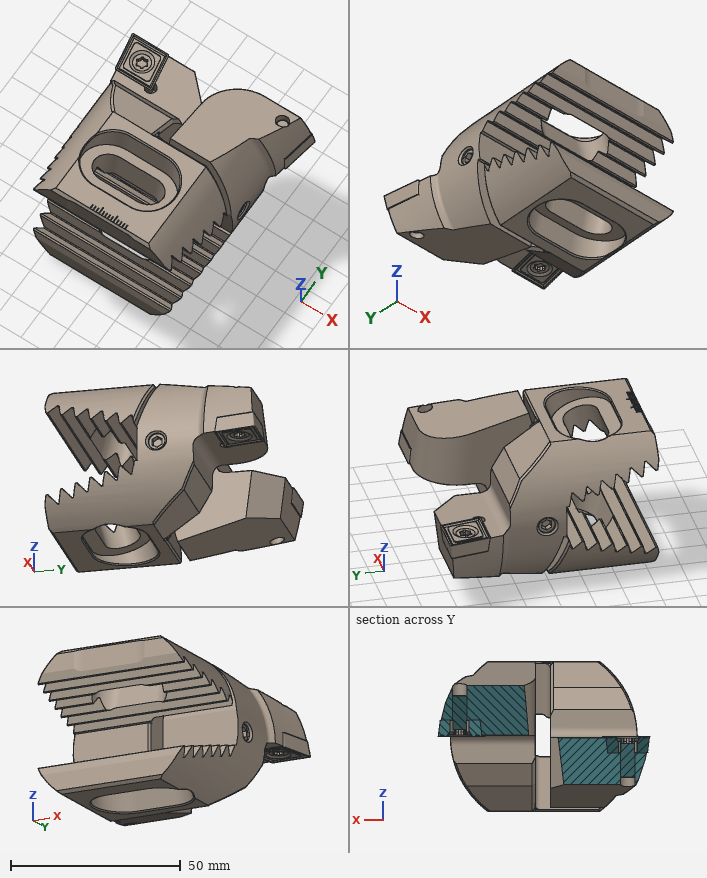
import cadquery as cq
import math


OVERSIZE = 100.0
MARGIN = 0.1

body_radius = 27.5
half_height = 22.05
slope = 15.0
tan_slope = math.tan(math.radians(slope))
cos_slope = math.cos(math.radians(slope))
sin_slope = math.sin(math.radians(slope))

root_y = 29.0
tooth_pitch = 4.73
tooth_count = 7
flank_angle = 60.0
tip_flat = 0.6
valley_flat = 0.4
flank_run = (tooth_pitch - tip_flat - valley_flat) / 2
tooth_height = flank_run * math.tan(math.radians(flank_angle))
first_tip_y = 28.4
first_tip_z = 5.6
root_tip_z = first_tip_z - (root_y - first_tip_y) * tan_slope
end_chamfer = 1.0

slot_x = -1.45
slot_y = 17.95
slot_radius = 5.4
slot_offset = 0.3
counterbore_straight = 12.8
counterbore_radius = 9.35
counterbore_lip = 0.4
lip_drop = 0.6
counterbore_depth = 4.4

relief_angle = 7.0
arm_top_z = -0.35
wall_y = 46.0
wall_top_z = 8.0
wall_fillet = 3.0
ramp_knee_y = 42.2
ramp_knee_z = 14.5
ramp_top_y = 31.4
ramp_edge_chamfer = 0.5
shoulder_height = 1.5
shoulder_length = 1.45
shoulder_fillet = 1.16
arm_front_radius = 31.5
arm_front_radius_y = 64.0
ramp_inner_chamfer = 1.0
jaw_back_chamfer = 0.65

tip_radius_from_axis = 32.25
insert_width = 12.7
insert_thickness = 4.76
insert_angle = 80.0
nose_radius = 0.4
insert_overhang = 0.3
groove_land = 0.5
groove_width = 1.25
groove_depth = 0.35
groove_taper = 55.0
platform_corner = 1.0
corner_relief_radius = 1.85
corner_relief_inset = 0.8

head_radius = 3.75
head_cone_depth = 1.4
insert_bore_radius = 2.75
head_top_radius = 2.8
head_top_drop = 0.5
shank_radius = 2.1
shank_bottom_z = -12.0
shank_chamfer = 0.3
torx_core_radius = 1.5
torx_lobe_radius = 0.4
torx_depth = 1.5
lobe_count = 6

set_screw_y = 34.85
set_screw_radius = 2.5
set_screw_length = 8.0
set_screw_recess = 1.2
set_screw_countersink_radius = 3.2
hex_across_flats = 3.0
hex_sides = 6
hex_depth = 2.0

tick_count = 13
tick_spacing = 1.02
first_tick_x = -4.3
tick_width = 0.2
tick_depth = 0.1
tick_length = 1.5
long_tick_length = 2.4
long_ticks = (3, 8)
end_recess_flat = 18.0
end_recess_width = 23.5
end_recess_depth = 0.28

upper = {
    "inner_x": 1.93,
    "jaw_back_y": 32.05,
    "web_corner_radius": 2.5,
    "slot_straight": 13.0,
    "arm_end_y": 34.65,
    "web_step_z": -4.3,
    "arm_bottom_z": -20.9,
    "arm_bottom_y": 34.1,
    "shoulder_y": 47.15,
    "tip_y": 65.4,
    "corner_chamfer": 8.15,
    "corner_round": 0,
    "web_chamfer": 0.6,
}
lower = {
    "inner_x": 2.43,
    "jaw_back_y": 32.35,
    "web_corner_radius": 1.4,
    "slot_straight": 12.2,
    "arm_end_y": 33.42,
    "web_step_z": 0.0,
    "arm_bottom_z": -22.05,
    "arm_bottom_y": 33.1,
    "shoulder_y": 48.1,
    "tip_y": 65.8,
    "corner_chamfer": 0,
    "corner_round": 13.2,
    "web_chamfer": 0,
}


def extrude_x(points, x_min, x_max):
    """Prism along X from a closed outline of (y, z) points."""
    return cq.Workplane("YZ", origin=(x_min, 0, 0)).polyline(points).close().extrude(x_max - x_min)


def leaning_y(y_at_flat, z):
    """Y at height z of a face square to the serrations that meets the outer flat at y_at_flat."""
    return y_at_flat - (half_height - abs(z)) * tan_slope


def turned_envelope(holder):
    """Solid of revolution about Y: cylinder, shoulder and outward cone of the arm."""
    cone_y = holder["shoulder_y"] + shoulder_length
    cone_radius = body_radius + shoulder_height
    cone_slope = (arm_front_radius - cone_radius) / (arm_front_radius_y - cone_y)
    front_y = 2 * holder["tip_y"]
    envelope = (
        cq.Workplane("XY")
        .moveTo(0, 0)
        .lineTo(body_radius, 0)
        .lineTo(body_radius, holder["shoulder_y"])
        .lineTo(cone_radius, cone_y)
        .lineTo(cone_radius + cone_slope * (front_y - cone_y), front_y)
        .lineTo(0, front_y)
        .close()
        .revolve(360, (0, 0, 0), (0, 1, 0))
    )
    shoulder_root = cq.selectors.BoxSelector(
        (-OVERSIZE, holder["shoulder_y"] - MARGIN, -OVERSIZE),
        (OVERSIZE, holder["shoulder_y"] + MARGIN, OVERSIZE),
    )
    return envelope.edges(shoulder_root).fillet(shoulder_fillet)


def serration_points():
    """Tooth outline (y, z) from the jaw root to beyond the jaw end."""
    local = []
    for i in range(tooth_count):
        tip = i * tooth_pitch
        local.append((tip - tip_flat / 2, 0))
        local.append((tip + tip_flat / 2, 0))
        local.append((tip + tip_flat / 2 + flank_run, tooth_height))
        local.append((tip + tip_flat / 2 + flank_run + valley_flat, tooth_height))
    return [
        (first_tip_y - u * cos_slope + v * sin_slope, first_tip_z + u * sin_slope + v * cos_slope)
        for u, v in local
    ]


def make_jaw(holder, envelope):
    """Serrated jaw: a leaning, chamfered back beside the web and a square root where they join."""
    inner = -holder["inner_x"]
    end_points = [(0, 0), (0, half_height - end_chamfer), (end_chamfer, half_height)]
    back_y = holder["jaw_back_y"]
    back_points = [(back_y, half_height), (leaning_y(back_y, 0), 0)]
    free_part = extrude_x(end_points + back_points, -OVERSIZE, OVERSIZE).intersect(envelope)
    back_face = cq.selectors.DirectionMinMaxSelector(cq.Vector(0, cos_slope, -sin_slope), True)
    free_part = free_part.faces(back_face).edges("not(<Z)").chamfer(jaw_back_chamfer)
    clear_of_web = cq.Workplane("XY").box(2 * OVERSIZE, OVERSIZE, OVERSIZE).translate(
        (inner + OVERSIZE, OVERSIZE / 2, 0)
    )
    free_part = free_part.intersect(clear_of_web)
    root_points = [(ramp_top_y, half_height), (ramp_top_y, root_tip_z), (root_y, root_tip_z), (root_y, 0)]
    web_part = extrude_x(end_points + root_points, -OVERSIZE, inner).intersect(envelope)
    teeth = serration_points()
    tooth_line = [(OVERSIZE, teeth[0][1])] + teeth + [(-OVERSIZE, teeth[-1][1])]
    below = tooth_line + [(-OVERSIZE, -OVERSIZE), (OVERSIZE, -OVERSIZE)]
    blank = free_part.union(web_part).union(web_corner(holder))
    return blank.cut(extrude_x(below, -OVERSIZE, OVERSIZE))


def web_prism(holder, x_max):
    """Side outline of web, ramps and arm, extruded from the outside up to x_max."""
    front_y = 2 * holder["tip_y"]
    bottom_front_z = holder["arm_bottom_z"] + (OVERSIZE - holder["arm_bottom_y"]) * tan_slope
    bottom_root_z = holder["arm_bottom_z"] - (holder["arm_bottom_y"] - root_y) * tan_slope
    prism = extrude_x(
        [
            (root_y, half_height),
            (ramp_top_y, half_height),
            (ramp_knee_y, ramp_knee_z),
            (wall_y, wall_top_z),
            (wall_y, arm_top_z),
            (front_y, arm_top_z),
            (front_y, holder["arm_bottom_z"]),
            (root_y, -OVERSIZE),
        ],
        -OVERSIZE,
        x_max,
    )
    foot = cq.selectors.BoxSelector(
        (-OVERSIZE, wall_y - MARGIN, arm_top_z - MARGIN), (OVERSIZE, wall_y + MARGIN, arm_top_z + MARGIN)
    )
    prism = prism.edges(foot).fillet(wall_fillet)
    underside = extrude_x(
        [(root_y, bottom_root_z), (OVERSIZE, bottom_front_z), (OVERSIZE, -OVERSIZE), (root_y, -OVERSIZE)],
        -OVERSIZE,
        OVERSIZE,
    )
    step_z = holder["web_step_z"]
    deep_z = -2 * half_height
    jaw_clearance = extrude_x(
        [
            (0, step_z),
            (leaning_y(holder["arm_end_y"], step_z), step_z),
            (leaning_y(holder["arm_end_y"], deep_z), deep_z),
            (0, deep_z),
        ],
        -OVERSIZE,
        OVERSIZE,
    )
    return prism.cut(underside).cut(jaw_clearance)


def arm_plan(holder):
    """Plan outline of the arm, extruded along the front relief direction."""
    relief = math.radians(relief_angle)
    plane = cq.Plane(
        origin=(0, holder["tip_y"] - insert_overhang, 0),
        xDir=(1, 0, 0),
        normal=(0, math.sin(relief), math.cos(relief)),
    )
    plan = (
        cq.Workplane(plane)
        .moveTo(-OVERSIZE, 0)
        .lineTo(-holder["inner_x"], 0)
        .lineTo(-holder["inner_x"], -OVERSIZE)
        .lineTo(-OVERSIZE, -OVERSIZE)
        .close()
        .extrude(OVERSIZE / 2, both=True)
    )
    corner = plan.edges(
        cq.selectors.BoxSelector((-holder["inner_x"] - MARGIN, 0, -MARGIN), (0, OVERSIZE, MARGIN))
    )
    if holder["corner_round"]:
        return corner.fillet(holder["corner_round"])
    return corner.chamfer(holder["corner_chamfer"])


def make_web(holder, envelope):
    """Web and arm on the cutter side, with broken ramp and web edges."""
    inner = -holder["inner_x"]
    web = web_prism(holder, inner).intersect(arm_plan(holder))
    ramp_edges = cq.selectors.BoxSelector(
        (inner - MARGIN, ramp_top_y, wall_top_z), (inner + MARGIN, wall_y - MARGIN, half_height - MARGIN)
    )
    web = web.edges(ramp_edges).chamfer(ramp_inner_chamfer)
    if holder["web_chamfer"]:
        face_edge = cq.selectors.BoxSelector(
            (inner - MARGIN, root_y - MARGIN, holder["web_step_z"]),
            (inner + MARGIN, root_y + MARGIN, half_height),
        )
        web = web.edges(face_edge).chamfer(holder["web_chamfer"])
    web = web.intersect(envelope)
    outer_ramp_edges = cq.selectors.BoxSelector(
        (-body_radius, ramp_top_y, wall_top_z), (-body_radius / 2, wall_y - MARGIN, half_height - MARGIN)
    )
    return web.edges(outer_ramp_edges).chamfer(ramp_edge_chamfer)


def web_corner(holder):
    """Concave round between the inner face of the web and the jaw back."""
    plane = cq.Plane(
        origin=(-holder["inner_x"], holder["jaw_back_y"], half_height),
        xDir=(1, 0, 0),
        normal=(0, sin_slope, cos_slope),
    )
    radius = holder["web_corner_radius"]
    corner = (
        cq.Workplane(plane)
        .moveTo(-MARGIN, -MARGIN)
        .lineTo(radius, -MARGIN)
        .lineTo(radius, 0)
        .radiusArc((0, radius), radius)
        .lineTo(-MARGIN, radius)
        .close()
        .extrude(half_height, both=True)
    )
    ceiling = extrude_x(
        [
            (0, 0),
            (0, half_height),
            (ramp_top_y, half_height),
            (ramp_knee_y, ramp_knee_z),
            (ramp_knee_y, 0),
        ],
        -OVERSIZE,
        OVERSIZE,
    )
    return corner.intersect(ceiling)


def clamping_slot(holder):
    """Counterbored slot along the tilted axis."""
    plane = cq.Plane(origin=(slot_x, slot_y, half_height), xDir=(1, 0, 0), normal=(0, sin_slope, cos_slope))
    bore = (
        cq.Workplane(plane)
        .center(0, slot_offset)
        .slot2D(holder["slot_straight"] + 2 * slot_radius, 2 * slot_radius)
        .extrude(-half_height)
    )
    counterbore = (
        cq.Workplane(plane)
        .workplane(offset=-counterbore_depth)
        .slot2D(counterbore_straight + 2 * counterbore_radius, 2 * counterbore_radius)
        .extrude(half_height)
    )
    return bore.union(counterbore)


def break_counterbore_lip(body):
    """Chamfer where the counterbore leaves the flat and the cylinder."""
    reach = counterbore_radius / cos_slope + MARGIN
    lip = cq.selectors.BoxSelector(
        (-body_radius, slot_y - reach, half_height - lip_drop),
        (body_radius, slot_y + reach, half_height + MARGIN),
    )
    return body.edges(lip).edges("not(|Y)").chamfer(counterbore_lip)


def set_screw_hole():
    """Countersunk blind hole from the cylinder into the web."""
    depth = set_screw_recess + set_screw_length
    flare = set_screw_countersink_radius - set_screw_radius
    return (
        cq.Workplane("XY", origin=(-body_radius, set_screw_y, 0))
        .polyline(
            [
                (-MARGIN, 0),
                (-MARGIN, set_screw_countersink_radius),
                (0, set_screw_countersink_radius),
                (flare, set_screw_radius),
                (depth, set_screw_radius),
                (depth, 0),
            ]
        )
        .close()
        .revolve(360, (0, 0, 0), (1, 0, 0))
    )


def make_holder(holder):
    envelope = turned_envelope(holder)
    body = make_jaw(holder, envelope).union(make_web(holder, envelope))
    body = break_counterbore_lip(body.cut(clamping_slot(holder)))
    body = body.cut(set_screw_hole()).cut(insert_blank(holder))
    relief_x, relief_y = relief_centre(holder)
    corner_relief = (
        cq.Workplane("XY", origin=(relief_x, relief_y, -insert_thickness))
        .circle(corner_relief_radius)
        .extrude(insert_thickness)
    )
    centre_x, centre_y = insert_centre(holder)
    screw_hole = (
        cq.Workplane("XY", origin=(centre_x, centre_y, -half_height))
        .circle(shank_radius)
        .extrude(half_height)
    )
    return body.cut(corner_relief).cut(screw_hole)


def add_dial(body):
    """Tick marks on the top flat and the shallow recess in the jaw end."""
    for i in range(tick_count):
        length = long_tick_length if i in long_ticks else tick_length
        tick = cq.Workplane("XY").box(tick_width, length, 2 * tick_depth).translate(
            (first_tick_x + i * tick_spacing, end_chamfer + length / 2, half_height)
        )
        body = body.cut(tick)
    flat = end_recess_flat / 2
    edge = end_recess_width / 2
    run = edge - flat
    arc_radius = (run**2 + end_recess_depth**2) / (2 * end_recess_depth)
    recess = (
        cq.Workplane("XY")
        .moveTo(-edge, 0)
        .radiusArc((-flat, end_recess_depth), arc_radius)
        .lineTo(flat, end_recess_depth)
        .radiusArc((edge, 0), arc_radius)
        .close()
        .extrude(half_height)
    )
    return body.cut(recess)


def insert_corners(holder):
    """Sharp corners of the rhombic top face, starting at the cutting tip."""
    angle = math.radians(insert_angle)
    side = insert_width / math.sin(angle)
    tip_x = -tip_radius_from_axis - nose_radius * (1 / math.tan(angle / 2) - 1)
    tip_y = holder["tip_y"]
    shift = side * math.cos(angle)
    back_y = tip_y - insert_width
    return [(tip_x, tip_y), (tip_x + side, tip_y), (tip_x + side + shift, back_y), (tip_x + shift, back_y)]


def insert_centre(holder):
    tip, _, opposite, _ = insert_corners(holder)
    return (tip[0] + opposite[0]) / 2, (tip[1] + opposite[1]) / 2


def relief_centre(holder):
    """Drill point at the buried acute corner of the insert."""
    buried = insert_corners(holder)[2]
    return buried[0] - corner_relief_inset, buried[1] + corner_relief_inset


def insert_blank(holder):
    """Rhombic insert with relief flanks and no bore."""
    straight = cq.Workplane("XY").polyline(insert_corners(holder)).close().extrude(
        -insert_thickness, taper=relief_angle
    )
    return straight.edges("not(#Z)").fillet(nose_radius)


def make_insert(holder):
    corners = insert_corners(holder)
    centre_x, centre_y = insert_centre(holder)
    groove = (
        cq.Workplane("XY").polyline(corners).close().offset2D(-groove_land)
        .extrude(-groove_depth, taper=groove_taper)
    )
    platform = (
        cq.Workplane("XY").polyline(corners).close().offset2D(-groove_land - groove_width)
        .extrude(-groove_depth).edges("|Z").fillet(platform_corner)
    )
    bore = (
        cq.Workplane("XZ", origin=(centre_x, centre_y, 0))
        .polyline(
            [
                (0, 0),
                (head_radius, 0),
                (insert_bore_radius, -head_cone_depth),
                (insert_bore_radius, -insert_thickness),
                (0, -insert_thickness),
            ]
        )
        .close()
        .revolve(360, (0, 0, 0), (0, 1, 0))
    )
    return insert_blank(holder).cut(groove.cut(platform)).cut(bore)


def make_insert_screw(holder):
    """Countersunk screw with a six-lobe socket."""
    centre_x, centre_y = insert_centre(holder)
    screw = (
        cq.Workplane("XZ")
        .polyline(
            [
                (0, -head_top_drop),
                (head_top_radius, -head_top_drop),
                (head_radius, 0),
                (insert_bore_radius, -head_cone_depth),
                (shank_radius, -head_cone_depth),
                (shank_radius, shank_bottom_z + shank_chamfer),
                (shank_radius - shank_chamfer, shank_bottom_z),
                (0, shank_bottom_z),
            ]
        )
        .close()
        .revolve(360, (0, 0, 0), (0, 1, 0))
    )
    socket_plane = cq.Workplane("XY", origin=(0, 0, -head_top_drop))
    socket = socket_plane.circle(torx_core_radius).extrude(-torx_depth)
    lobes = (
        socket_plane.polarArray(torx_core_radius, 0, 360, lobe_count)
        .circle(torx_lobe_radius)
        .extrude(-torx_depth)
    )
    return screw.cut(socket).cut(lobes).translate((centre_x, centre_y, 0))


def make_set_screw():
    """Headless hexagon-socket screw lying along X in the web."""
    start = cq.Workplane("YZ", origin=(-body_radius + set_screw_recess, set_screw_y, 0))
    screw = start.circle(set_screw_radius).extrude(set_screw_length)
    hex_diameter = hex_across_flats / math.cos(math.pi / hex_sides)
    socket = (
        start.transformed(rotate=(0, 0, 180 / hex_sides))
        .polygon(hex_sides, hex_diameter)
        .extrude(hex_depth)
    )
    return screw.cut(socket)


def half_turn(body):
    return body.rotate((0, 0, 0), (0, 1, 0), 180)


upper_holder = add_dial(make_holder(upper))
lower_holder = half_turn(make_holder(lower))
inserts = [make_insert(upper), half_turn(make_insert(lower))]
insert_screws = [make_insert_screw(upper), half_turn(make_insert_screw(lower))]
set_screws = [make_set_screw(), half_turn(make_set_screw())]

bodies = [upper_holder, lower_holder] + inserts + insert_screws + set_screws
result = cq.Compound.makeCompound([body.solids().val() for body in bodies])